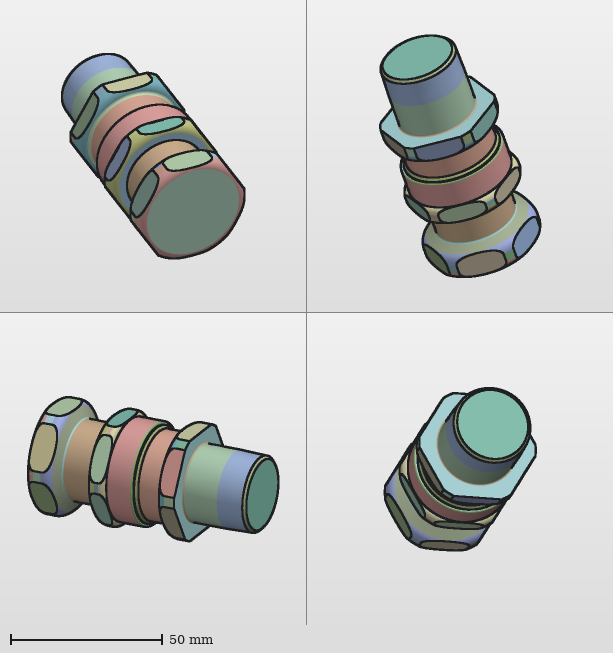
import cadquery as cq
import math

overall_length = 77.9
hex_across_flats = 36.0
corner_radius = 39.5 / 2

entry_tip_radius = 24.1 / 2
taper_start_radius = 26.1 / 2
thread_radius = 26.65 / 2
entry_neck_radius = 31.2 / 2
tip_chamfer_length = 1.0
taper_end = 10.2
entry_root_fillet = 0.55
entry_hex_face = 22.8
hex_to_neck_fillet = 0.9
entry_hex_round = corner_radius - entry_neck_radius - hex_to_neck_fillet
entry_hex_round_start = 26.5

seal_outer_radius = 33.35 / 2
seal_start = 38.1
seal_chamfer_end = seal_start + seal_outer_radius - entry_neck_radius

middle_face = 39.4
middle_barrel_radius = 35.7 / 2
middle_edge_fillet = 0.55
middle_hex_face = 48.85
middle_front_round = 1.95
middle_rear_round = 3.1
middle_rear_face = 55.5

back_neck_radius = 27.9 / 2
back_cone_start = 66.75
back_cone_end = 68.6
back_cone_end_radius = 17.8
back_root_fillet = 0.6
back_hex_round_start = 72.0
back_rear_round = 3.0


def arc_point(center, radius, degrees):
    """Point (x, radius) on a profile arc at the given angle from +X."""
    angle = math.radians(degrees)
    return (center[0] + radius * math.cos(angle), center[1] + radius * math.sin(angle))


def revolve_about_x(profile):
    """Close a profile given as (x, radius) and revolve it about X."""
    return profile.close().revolve(360, (0, 0, 0), (1, 0, 0))


def trim_to_hexagon(turned):
    """Cut the six flats, with two of them facing +Z and -Z."""
    across_corners = hex_across_flats / math.cos(math.radians(30))
    hexagon = cq.Workplane("YZ").polygon(6, across_corners).extrude(overall_length)
    return turned.intersect(hexagon).solids()


def make_entry_body():
    root_center = (entry_hex_face - entry_root_fillet, thread_radius + entry_root_fillet)
    round_center = (entry_hex_round_start, corner_radius - entry_hex_round)
    round_end = (entry_hex_round_start + entry_hex_round, round_center[1])
    neck_start = round_end[0] + hex_to_neck_fillet
    neck_center = (neck_start, round_end[1])
    profile = (
        cq.Workplane("XY")
        .lineTo(0, entry_tip_radius)
        .lineTo(tip_chamfer_length, taper_start_radius)
        .lineTo(taper_end, thread_radius)
        .lineTo(root_center[0], thread_radius)
        .threePointArc(
            arc_point(root_center, entry_root_fillet, -45),
            (entry_hex_face, root_center[1]),
        )
        .lineTo(entry_hex_face, corner_radius)
        .lineTo(entry_hex_round_start, corner_radius)
        .threePointArc(arc_point(round_center, entry_hex_round, 45), round_end)
        .threePointArc(
            arc_point(neck_center, hex_to_neck_fillet, 225),
            (neck_start, entry_neck_radius),
        )
        .lineTo(middle_face, entry_neck_radius)
        .lineTo(middle_face, 0)
    )
    return trim_to_hexagon(revolve_about_x(profile))


def make_seal_ring():
    """Ring around the entry neck, with a 45 degree front chamfer."""
    profile = (
        cq.Workplane("XY")
        .moveTo(seal_start, entry_neck_radius)
        .lineTo(seal_chamfer_end, seal_outer_radius)
        .lineTo(middle_face, seal_outer_radius)
        .lineTo(middle_face, entry_neck_radius)
    )
    return revolve_about_x(profile)


def make_middle_nut():
    edge_center = (middle_face + middle_edge_fillet, middle_barrel_radius - middle_edge_fillet)
    front_center = (middle_hex_face + middle_front_round, corner_radius - middle_front_round)
    rear_center = (middle_rear_face - middle_rear_round, corner_radius - middle_rear_round)
    profile = (
        cq.Workplane("XY")
        .moveTo(middle_face, 0)
        .lineTo(middle_face, edge_center[1])
        .threePointArc(
            arc_point(edge_center, middle_edge_fillet, 135),
            (edge_center[0], middle_barrel_radius),
        )
        .lineTo(middle_hex_face, middle_barrel_radius)
        .lineTo(middle_hex_face, front_center[1])
        .threePointArc(
            arc_point(front_center, middle_front_round, 135),
            (front_center[0], corner_radius),
        )
        .lineTo(rear_center[0], corner_radius)
        .threePointArc(
            arc_point(rear_center, middle_rear_round, 45),
            (middle_rear_face, rear_center[1]),
        )
        .lineTo(middle_rear_face, 0)
    )
    return trim_to_hexagon(revolve_about_x(profile))


def make_back_nut():
    cone_angle = math.atan2(back_cone_end_radius - back_neck_radius, back_cone_end - back_cone_start)
    tangent_length = back_root_fillet * math.tan(cone_angle / 2)
    root_center = (back_cone_start - tangent_length, back_neck_radius + back_root_fillet)
    root_end_angle = math.degrees(cone_angle) - 90

    rear_center = (overall_length - back_rear_round, corner_radius - back_rear_round)
    profile = (
        cq.Workplane("XY")
        .moveTo(middle_rear_face, 0)
        .lineTo(middle_rear_face, back_neck_radius)
        .lineTo(root_center[0], back_neck_radius)
        .threePointArc(
            arc_point(root_center, back_root_fillet, (root_end_angle - 90) / 2),
            arc_point(root_center, back_root_fillet, root_end_angle),
        )
        .lineTo(back_cone_end, back_cone_end_radius)
        .tangentArcPoint((back_hex_round_start, corner_radius), relative=False)
        .lineTo(rear_center[0], corner_radius)
        .threePointArc(
            arc_point(rear_center, back_rear_round, 45),
            (overall_length, rear_center[1]),
        )
        .lineTo(overall_length, 0)
    )
    return trim_to_hexagon(revolve_about_x(profile))


entry_body = make_entry_body()
seal_ring = make_seal_ring()
middle_nut = make_middle_nut()
back_nut = make_back_nut()

result = cq.Compound.makeCompound([
    entry_body.val(),
    seal_ring.val(),
    middle_nut.val(),
    back_nut.val(),
])